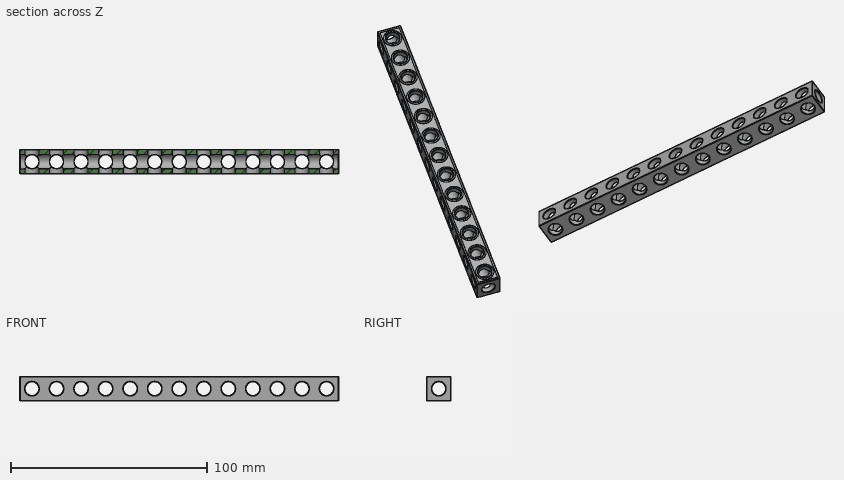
import cadquery as cq

length = 162.5
hole_count = 13
hole_diameter = 7.0
chamfer = 0.3
collar_diameter = 9.3
recess_width = 10.2
recess_depth = 0.2

pitch = length / hole_count
rim_width = (pitch - recess_width) / 2
hole_radius = hole_diameter / 2


def beam_body():
    """Square bar with every outer edge chamfered."""
    return cq.Workplane("XY").box(length, pitch, pitch).edges().chamfer(chamfer)


def top_recess():
    """Shallow recess in the top face, leaving a rim around it and a collar around each hole."""
    floor = cq.Workplane("XY", origin=(0, 0, pitch / 2 - recess_depth))
    trough = floor.rect(length - 2 * rim_width, recess_width).extrude(recess_depth)
    collars = floor.rarray(pitch, 1.6, hole_count, 1).circle(collar_diameter / 2).extrude(recess_depth)
    return trough.cut(collars)


def hole_cutter(depth):
    """Through hole along Z, centred on the origin, with a chamfered mouth at each end."""
    half = depth / 2
    mouth_radius = hole_radius + chamfer
    profile = [
        (0, -half),
        (mouth_radius, -half),
        (hole_radius, -half + chamfer),
        (hole_radius, half - chamfer),
        (mouth_radius, half),
        (0, half),
    ]
    return cq.Workplane("XZ").polyline(profile).close().revolve(360, (0, 0, 0), (0, 1, 0))


result = beam_body().cut(top_recess())

vertical_hole = hole_cutter(pitch)
sideways_hole = vertical_hole.rotate((0, 0, 0), (1, 0, 0), 90)
for cell in range(hole_count):
    cell_position = (pitch * (cell - (hole_count - 1) / 2), 0, 0)
    result = result.cut(vertical_hole.translate(cell_position))
    result = result.cut(sideways_hole.translate(cell_position))

result = result.cut(hole_cutter(length).rotate((0, 0, 0), (0, 1, 0), 90))